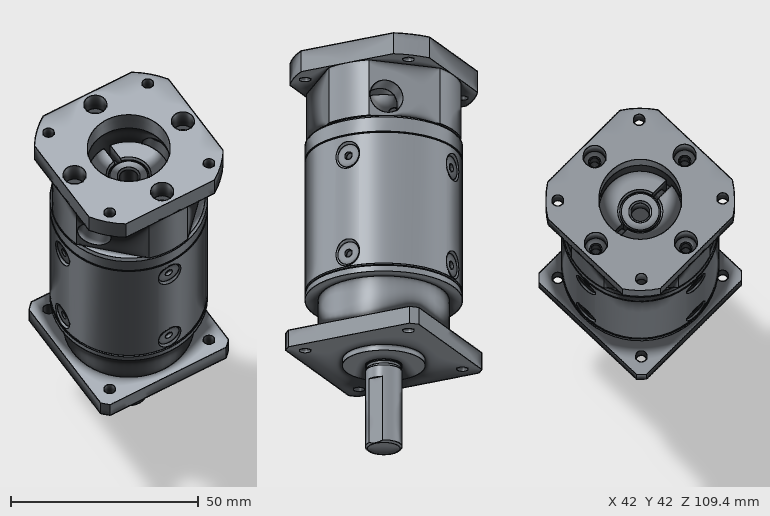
import cadquery as cq
import math


top_z = 109.4
flange_thickness = 6.0
flange_bottom_z = top_z - flange_thickness
neck_bottom_z = 87.5
upper_seam_z = 82.6
lower_seam_z = 44.5
drum_bottom_z = 42.6
plate_top_z = 30.3
plate_bottom_z = 25.5
pilot_bottom_z = 23.8

flange_width = 42.0
flange_corner_radius = 25.2
drum_radius = flange_width / 2
drum_top_chamfer = 0.7
neck_flat_distance = 18.5
lower_neck_radius = 17.5
plate_width = 40.0
plate_corner_radius = 27.0
pilot_radius = 11.0

upper_groove_width = 0.3
lower_groove_width = 0.7
groove_depth = 0.2

mounting_hole_pitch = 31.1
mounting_hole_radius = 1.5

screw_circle_radius = 17.0
counterbore_radius = 3.1
screw_hole_radius = 1.3
screw_hole_chamfer = 0.3
screw_hole_depth = 4.4
drill_tip_angle = 118.0

seat_heights = (76.9, 48.9)
seat_radius = 3.8
seat_depth = 0.7
seat_socket_radius = 1.1
seat_socket_depth = 1.1

opening_radius = 11.0
pocket_radius = 13.3
pocket_floor_z = upper_seam_z

access_hole_radius = 4.6
access_hole_offset = 5.0
access_hole_z = 93.5

hub_radius = opening_radius
hub_top_z = 97.3
hub_bore_radius = 5.5
hub_bore_chamfer = 0.5
slot_width = 2.0
slot_floor_z = neck_bottom_z
clamp_screw_radius = 2.0
clamp_screw_offset = 7.5
clamp_screw_z = 91.5
clamp_screw_head_y = -9.1
clamp_screw_length = 13.1
clamp_screw_chamfer = 0.27

shaft_radius = 4.9
shaft_tip_chamfer = 0.5
shaft_top_chamfer = 0.4
relief_radius = 4.6
relief_top_z = 23.5
relief_bottom_z = 22.8
relief_taper = shaft_radius - relief_radius
relief_taper_height = 2 * relief_taper
center_hole_radius = 2.5
center_hole_chamfer = 0.5
center_hole_depth = 5.5
shaft_flat_depth = 0.4
shaft_flat_top_z = 18.8

quarter_turns = (0, 90, 180, 270)
half_turns = (0, 180)


def cylinder(radius, bottom_z, top):
    return cq.Workplane("XY").workplane(offset=bottom_z).circle(radius).extrude(top - bottom_z)


def turned(half_profile):
    """Revolve a closed outline of (radius, z) points around the Z axis."""
    return cq.Workplane("XZ").polyline(half_profile).close().revolve(360, (0, 0, 0), (0, 1, 0))


def turned_about_z(shape, angle):
    return shape.rotate((0, 0, 0), (0, 0, 1), angle)


def round_cornered_plate(width, corner_radius, bottom_z, top):
    """Square plate whose corners are cut to a circle around the Z axis."""
    square = cq.Workplane("XY").workplane(offset=bottom_z).rect(width, width).extrude(top - bottom_z)
    return square.intersect(cylinder(corner_radius, bottom_z, top))


def flatted_neck():
    """Round neck with four flats that face the flange corners."""
    neck = cylinder(drum_radius, neck_bottom_z, flange_bottom_z)
    flats = (
        cq.Workplane("XY")
        .workplane(offset=neck_bottom_z)
        .rect(2 * neck_flat_distance, 2 * neck_flat_distance)
        .extrude(flange_bottom_z - neck_bottom_z)
    )
    return neck.intersect(turned_about_z(flats, 45))


def seam_groove(z, width):
    return turned([
        (drum_radius, z + width / 2),
        (drum_radius - groove_depth, z),
        (drum_radius, z - width / 2),
    ])


def flange_screw_hole():
    """Counterbore through the flange, then a chamfered blind hole with a drill tip."""
    floor_z = flange_bottom_z
    hole_end_z = floor_z - screw_hole_depth
    tip_z = hole_end_z - screw_hole_radius / math.tan(math.radians(drill_tip_angle / 2))
    hole = turned([
        (0, top_z),
        (counterbore_radius, top_z),
        (counterbore_radius, floor_z),
        (screw_hole_radius + screw_hole_chamfer, floor_z),
        (screw_hole_radius, floor_z - screw_hole_chamfer),
        (screw_hole_radius, hole_end_z),
        (0, tip_z),
    ])
    return hole.translate((screw_circle_radius, 0, 0))


def drum_screw_seat(z):
    """Conical dish with a small blind socket, sunk into the -Y side of the drum."""
    floor_y = seat_depth - drum_radius
    floor_radius = seat_radius - seat_depth
    dish = cq.Workplane("XY").add(
        cq.Solid.makeCone(
            floor_radius, seat_radius, seat_depth, cq.Vector(0, floor_y, z), cq.Vector(0, -1, 0)
        )
    )
    socket = cq.Workplane("XY").add(
        cq.Solid.makeCylinder(
            seat_socket_radius, seat_socket_depth, cq.Vector(0, floor_y, z), cq.Vector(0, 1, 0)
        )
    )
    return dish.union(socket)


def access_hole():
    """Hole square to the neck flat between +X and -Y, beside the flat's middle."""
    hole = cq.Solid.makeCylinder(
        access_hole_radius,
        neck_flat_distance,
        cq.Vector(-access_hole_offset, -neck_flat_distance, access_hole_z),
        cq.Vector(0, 1, 0),
    )
    return turned_about_z(cq.Workplane("XY").add(hole), 45)


def shaft_blank():
    """Turned shaft: wide inside the hub, narrower below, relieved under the pilot."""
    hub_end_radius = hub_bore_radius - shaft_top_chamfer
    hole_mouth_radius = center_hole_radius + center_hole_chamfer
    return turned([
        (0, 0),
        (shaft_radius - shaft_tip_chamfer, 0),
        (shaft_radius, shaft_tip_chamfer),
        (shaft_radius, relief_bottom_z - relief_taper_height),
        (relief_radius, relief_bottom_z),
        (relief_radius, relief_top_z),
        (shaft_radius, relief_top_z),
        (shaft_radius, pocket_floor_z),
        (hub_bore_radius, pocket_floor_z),
        (hub_bore_radius, hub_top_z - hub_bore_chamfer - shaft_top_chamfer),
        (hub_end_radius, hub_top_z - hub_bore_chamfer),
        (hole_mouth_radius, hub_top_z - hub_bore_chamfer),
        (center_hole_radius, hub_top_z - hub_bore_chamfer - center_hole_chamfer),
        (center_hole_radius, hub_top_z - hub_bore_chamfer - center_hole_depth),
        (0, hub_top_z - hub_bore_chamfer - center_hole_depth),
    ])


def make_housing():
    drum = cylinder(drum_radius, drum_bottom_z, neck_bottom_z).faces(">Z").chamfer(drum_top_chamfer)
    body = (
        round_cornered_plate(flange_width, flange_corner_radius, flange_bottom_z, top_z)
        .union(flatted_neck())
        .union(drum)
        .union(cylinder(lower_neck_radius, plate_top_z, drum_bottom_z))
        .union(round_cornered_plate(plate_width, plate_corner_radius, plate_bottom_z, plate_top_z))
        .union(cylinder(pilot_radius, pilot_bottom_z, plate_bottom_z))
    )

    body = body.cut(cylinder(opening_radius, flange_bottom_z, top_z))
    body = body.cut(cylinder(pocket_radius, pocket_floor_z, flange_bottom_z))
    body = body.cut(cylinder(shaft_radius, pilot_bottom_z, pocket_floor_z))

    body = body.cut(seam_groove(upper_seam_z, upper_groove_width))
    body = body.cut(seam_groove(lower_seam_z, lower_groove_width))

    for bottom_z, plate_z in ((flange_bottom_z, top_z), (plate_bottom_z, plate_top_z)):
        holes = (
            cq.Workplane("XY")
            .workplane(offset=bottom_z)
            .rect(mounting_hole_pitch, mounting_hole_pitch, forConstruction=True)
            .vertices()
            .circle(mounting_hole_radius)
            .extrude(plate_z - bottom_z)
        )
        body = body.cut(holes)

    for angle in quarter_turns:
        body = body.cut(turned_about_z(flange_screw_hole(), angle))
        for z in seat_heights:
            body = body.cut(turned_about_z(drum_screw_seat(z), angle))

    for angle in half_turns:
        body = body.cut(turned_about_z(access_hole(), angle))
    return body


def clamp_screw():
    screw = cq.Solid.makeCylinder(
        clamp_screw_radius,
        clamp_screw_length,
        cq.Vector(clamp_screw_offset, clamp_screw_head_y, clamp_screw_z),
        cq.Vector(0, 1, 0),
    )
    return cq.Workplane("XY").add(screw).faces("<Y").chamfer(clamp_screw_chamfer)


def make_clamp_hub():
    """Slotted hub in one piece with the two clamp screws that bridge its slot."""
    hub = cylinder(hub_radius, pocket_floor_z, hub_top_z)
    slot = (
        cq.Workplane("XY")
        .workplane(offset=slot_floor_z)
        .rect(2 * hub_radius, slot_width)
        .extrude(hub_top_z - slot_floor_z)
    )
    hub = hub.cut(slot)
    for angle in half_turns:
        hub = hub.union(turned_about_z(clamp_screw(), angle))
    bore = turned([
        (0, pocket_floor_z),
        (hub_bore_radius, pocket_floor_z),
        (hub_bore_radius, hub_top_z - hub_bore_chamfer),
        (hub_bore_radius + hub_bore_chamfer, hub_top_z),
        (0, hub_top_z),
    ])
    return hub.cut(bore)


def make_shaft():
    """Through shaft with a shallow flat on the +Y side of its output end."""
    flat = (
        cq.Workplane("XY")
        .rect(2 * shaft_radius, 2 * shaft_flat_depth)
        .extrude(shaft_flat_top_z)
        .translate((0, shaft_radius, 0))
    )
    return shaft_blank().cut(flat)


housing = make_housing()
clamp_hub = make_clamp_hub()
shaft = make_shaft()

result = cq.Compound.makeCompound([housing.solids().val(), clamp_hub.solids().val(), shaft.solids().val()])